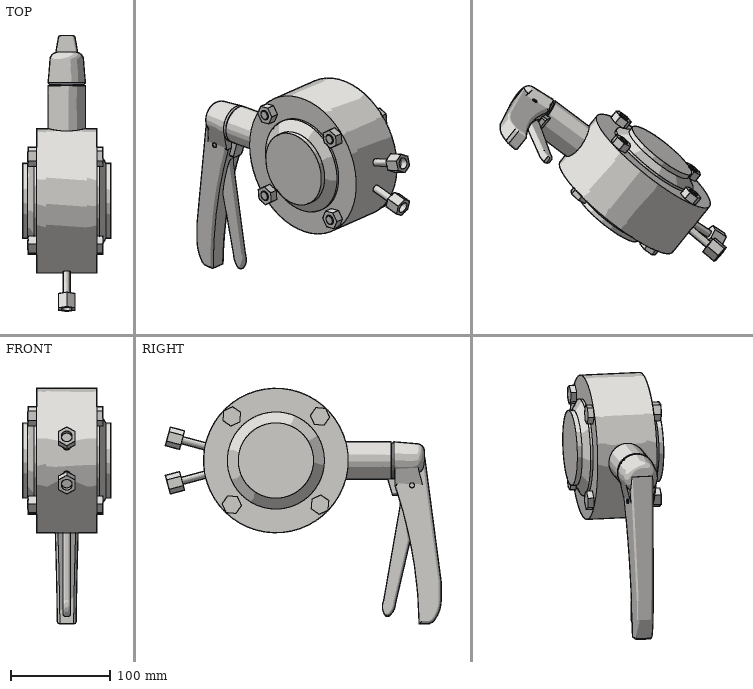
import cadquery as cq
import math

drum_radius = 73.0
drum_width = 61.0
drum_half = drum_width / 2
flange_thickness = 10.0

neck_radius = 38.0
neck_base_radius = 49.0
neck_end = 44.5
cone_outer = 39.5
cone_inner = 33.0

hex_sides = 6
hex_flats = 17.0
hex_radius = hex_flats / math.cos(math.pi / hex_sides) / 2

bolt_offset = 44.5
bolt_count = 4
bolt_hex_turn = 5.0
bolt_head_height = 6.0
nut_height = 8.5
stud_radius = 5.0
stud_chamfer = 0.7
stud_tip = 0.8

fitting_origin_y = -18.0
fitting_angle = 15.0
fitting_length = 94.3
fitting_nut_length = 15.0
fitting_tube_radius = 3.75
fitting_bore_radius = 5.5
fitting_bore_depth = 8.0

stem_radius = 19.0
collar_start = 107.6
collar_end = 116.2

hub_gap = 0.7
hub_foot = collar_end + hub_gap
hub_foot_radius = 17.3
hub_lip = 119.3
hub_end = 150.0
hub_end_radius = 16.4
hub_round = 8.0

arm_top_z = 3.0
arm_tip_z = -164.71
arm_front_y = 120.0
arm_shoulder_y = 150.4
arm_back_y = 166.85
arm_back_top_z = -122.0
arm_back_low_z = -142.0
arm_heel_middle = (163.9, -154.5)
arm_heel_end = (158.6, -162.8)
arm_tip_back_y = 154.8
arm_tip_front_y = 144.4
arm_palm_middle = (136.0, -84.0)

flank_margin = 20.0
flank_top_half = 14.2
flank_tip_half = 11.8
flank_draft = 5.1
flank_depth = 50.0
arm_edge_fillet = 2.7

pin_radius = 2.5
pin_y = 137.3
pin_z = -25.0
pin_half_length = 13.0

web_top_z = -5.0
web_top_front_half = 17.6
web_top_back_half = 15.8
web_top_back_y = 143.0
web_root_front_half = 13.3
web_root_back_half = 11.0
web_root_back_y = 148.0

trigger_width = 7.6
trigger_edge_fillet = 2.5
trigger_root = (131.0, -36.0)
trigger_shoulder_y = 125.0
trigger_shoulder_top_z = -38.0
trigger_shoulder_low_z = -47.0
trigger_front_end = (108.6, -141.5)
trigger_tip_front_middle = (108.3, -152.7)
trigger_tip_front_y = 111.0
trigger_tip_back_y = 114.0
trigger_tip_z = -157.3
trigger_tip_back_middle = (118.3, -152.4)
trigger_back_end = (121.0, -143.6)
trigger_back_top = (135.5, -81.0)

latch_width = 13.0
latch_chamfer = 1.8
latch_top_z = -18.5
latch_bottom_z = -35.4
latch_top_front_y = 112.7
latch_top_back_y = 126.0
latch_bottom_front_y = 117.7
latch_bottom_back_y = 122.7


def drum_section():
    """Drum with two flange discs of the same diameter."""
    barrel_half = drum_half - flange_thickness
    drum = (
        cq.Workplane("YZ", origin=(-barrel_half, 0, 0))
        .circle(drum_radius)
        .extrude(2 * barrel_half)
    )
    for side in (-1, 1):
        flange = (
            cq.Workplane("YZ", origin=(side * barrel_half, 0, 0))
            .circle(drum_radius)
            .extrude(side * flange_thickness)
        )
        drum = cq.Workplane(obj=drum.val().fuse(flange.val()))
    return drum


def necks():
    """Both necks as one turned piece through the drum."""
    half_outline = [
        (0, neck_base_radius),
        (cone_inner, neck_base_radius),
        (cone_outer, neck_radius),
        (neck_end, neck_radius),
        (neck_end, 0),
        (0, 0),
    ]
    half = cq.Workplane("XY").polyline(half_outline).close().revolve(360, (0, 0, 0), (1, 0, 0))
    return half.union(half.mirror("YZ"))


def flange_bolt():
    """Nut and stud end on -X, bolt head on +X, about the X axis."""
    span = drum_width + nut_height + bolt_head_height
    hexes = (
        cq.Workplane("YZ", origin=(-drum_half - nut_height, 0, 0))
        .polygon(hex_sides, 2 * hex_radius)
        .extrude(span)
        .rotate((0, 0, 0), (1, 0, 0), -bolt_hex_turn)
    )
    stud = (
        cq.Workplane("YZ", origin=(-drum_half - nut_height - stud_tip, 0, 0))
        .circle(stud_radius)
        .extrude(drum_half)
        .faces("<X")
        .chamfer(stud_chamfer)
    )
    return hexes.union(stud).translate((0, bolt_offset, bolt_offset))


def fitting_plane(side, distance):
    """Plane across a fitting axis, facing outward."""
    angle = math.radians(fitting_angle)
    direction = cq.Vector(0, -math.cos(angle), side * math.sin(angle))
    origin = cq.Vector(0, fitting_origin_y, 0) + direction * distance
    return cq.Plane(origin=origin, xDir=(1, 0, 0), normal=direction)


def fitting(side):
    """Tube with a bored hexagonal nut."""
    nut_start = fitting_length - fitting_nut_length
    tube = cq.Workplane(fitting_plane(side, 0)).circle(fitting_tube_radius).extrude(nut_start)
    nut = (
        cq.Workplane(fitting_plane(side, nut_start))
        .transformed(rotate=(0, 0, 90))
        .polygon(hex_sides, 2 * hex_radius)
        .extrude(fitting_nut_length)
    )
    bore = (
        cq.Workplane(fitting_plane(side, fitting_length))
        .circle(fitting_bore_radius)
        .extrude(-fitting_bore_depth)
    )
    return tube.union(nut).cut(bore)


def y_cylinder(radius, start, end):
    """Solid cylinder along Y between two Y positions."""
    return cq.Workplane("XZ", origin=(0, start, 0)).circle(radius).extrude(start - end)


def build_valve():
    """Drum with necks, stem, collar, fittings and bolts as one solid."""
    valve = drum_section()
    parts = [necks(), y_cylinder(stem_radius, 0, collar_start)]
    parts += [fitting(side) for side in (-1, 1)]
    bolt = flange_bolt()
    for index in range(bolt_count):
        parts.append(bolt.rotate((0, 0, 0), (1, 0, 0), index * 360 / bolt_count))
    parts.append(y_cylinder(stem_radius, collar_start, collar_end))
    for part in parts:
        valve = cq.Workplane(obj=valve.val().fuse(part.val()))
    return valve


def hub():
    """Tapered hub with a chamfered foot and a rounded end."""
    outline = [
        (0, hub_foot),
        (hub_foot_radius, hub_foot),
        (stem_radius, hub_lip),
        (hub_end_radius, hub_end),
        (0, hub_end),
    ]
    blank = cq.Workplane("XY").polyline(outline).close().revolve(360, (0, 0, 0), (0, 1, 0))
    return blank.faces(">Y").edges().fillet(hub_round)


def arm():
    """Curved grip: side outline between two drafted flanks."""
    side_outline = (
        cq.Workplane("YZ")
        .moveTo(arm_shoulder_y, arm_top_z)
        .lineTo(arm_back_y, arm_back_top_z)
        .lineTo(arm_back_y, arm_back_low_z)
        .threePointArc(arm_heel_middle, arm_heel_end)
        .lineTo(arm_tip_back_y, arm_tip_z)
        .lineTo(arm_tip_front_y, arm_tip_z)
        .threePointArc(arm_palm_middle, (arm_front_y, pin_z))
        .lineTo(arm_front_y, arm_top_z)
        .close()
        .extrude(flank_top_half, both=True)
    )
    flank_top_z = arm_top_z + flank_margin
    flank_tip_z = arm_tip_z - flank_margin
    flanks = (
        cq.Workplane("XZ", origin=(0, arm_front_y, 0))
        .polyline(
            [
                (-flank_top_half, flank_top_z),
                (flank_top_half, flank_top_z),
                (flank_tip_half, flank_tip_z),
                (-flank_tip_half, flank_tip_z),
            ]
        )
        .close()
        .extrude(-flank_depth, taper=flank_draft)
    )
    grip = side_outline.intersect(flanks)
    return grip.faces("<X or >X").edges("not >Z").fillet(arm_edge_fillet)


def web_outline(front_half, back_half, back_y):
    """Corners of a level cut through the web."""
    return [
        (-front_half, arm_front_y),
        (front_half, arm_front_y),
        (back_half, back_y),
        (-back_half, back_y),
    ]


def hub_web():
    """Tapered block whose sides run from the hub down to the root of the arm."""
    top = web_outline(web_top_front_half, web_top_back_half, web_top_back_y)
    root = web_outline(web_root_front_half, web_root_back_half, web_root_back_y)
    return (
        cq.Workplane("XY", origin=(0, 0, web_top_z))
        .polyline(top)
        .close()
        .workplane(offset=pin_z - web_top_z)
        .polyline(root)
        .close()
        .loft()
    )


def trigger():
    """Slim lever with rounded edges, rooted in the arm."""
    outline = (
        cq.Workplane("YZ")
        .moveTo(*trigger_root)
        .lineTo(trigger_shoulder_y, trigger_shoulder_top_z)
        .lineTo(trigger_shoulder_y, trigger_shoulder_low_z)
        .lineTo(*trigger_front_end)
        .threePointArc(trigger_tip_front_middle, (trigger_tip_front_y, trigger_tip_z))
        .lineTo(trigger_tip_back_y, trigger_tip_z)
        .threePointArc(trigger_tip_back_middle, trigger_back_end)
        .lineTo(*trigger_back_top)
        .close()
        .extrude(trigger_width / 2, both=True)
    )
    return outline.faces("<X or >X").edges().fillet(trigger_edge_fillet)


def latch():
    """Tapered tooth, hollowed where it lies against the underside of the collar."""
    blank = (
        cq.Workplane("YZ")
        .polyline(
            [
                (latch_top_front_y, latch_top_z),
                (latch_bottom_front_y, latch_bottom_z),
                (latch_bottom_back_y, latch_bottom_z),
                (latch_top_back_y, latch_top_z),
            ]
        )
        .close()
        .extrude(latch_width / 2, both=True)
        .faces("<Z")
        .edges("|Y")
        .chamfer(latch_chamfer)
    )
    return blank.cut(y_cylinder(stem_radius, collar_start, collar_end))


def pin():
    """Pin across the arm, its ends just proud of the flanks."""
    return (
        cq.Workplane("YZ", origin=(0, pin_y, pin_z))
        .circle(pin_radius)
        .extrude(pin_half_length, both=True)
    )


def build_handle():
    """Hub, arm, trigger, latch and pin as one solid, clear of the collar by a small gap."""
    return hub().union(hub_web()).union(arm()).union(trigger()).union(latch()).union(pin())


valve = build_valve()
handle = build_handle()
result = cq.Compound.makeCompound([valve.solids().val(), handle.solids().val()])